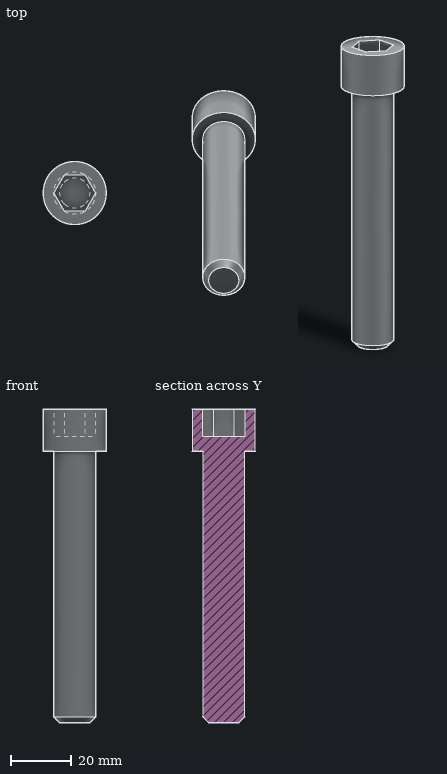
import cadquery as cq
import math

thread_diameter = 14.0
shank_length = 90.0
thread_length = 40.0
head_diameter = 1.5 * thread_diameter
head_height = thread_diameter
tip_chamfer = 2.0

socket_across_flats = 12.0
socket_across_corners = socket_across_flats / math.cos(math.pi / 6)
socket_depth = 9.0


def make_head():
    """Plain cylindrical head standing on the seat plane."""
    return cq.Workplane("XY").circle(head_diameter / 2).extrude(head_height)


def make_plain_shank():
    """Unthreaded length directly below the head."""
    return cq.Workplane("XY").circle(thread_diameter / 2).extrude(thread_length - shank_length)


def make_threaded_end():
    """Threaded length as a plain cylinder at nominal diameter, with a chamfered tip."""
    return (
        cq.Workplane("XY")
        .workplane(offset=thread_length - shank_length)
        .circle(thread_diameter / 2)
        .extrude(-thread_length)
        .faces("<Z")
        .chamfer(tip_chamfer)
    )


def make_socket():
    """Hexagonal recess sunk into the top of the head."""
    return (
        cq.Workplane("XY")
        .workplane(offset=head_height)
        .polygon(6, socket_across_corners)
        .extrude(-socket_depth)
    )


screw = make_head().union(make_plain_shank()).union(make_threaded_end(), clean=False)
result = screw.cut(make_socket(), clean=False)